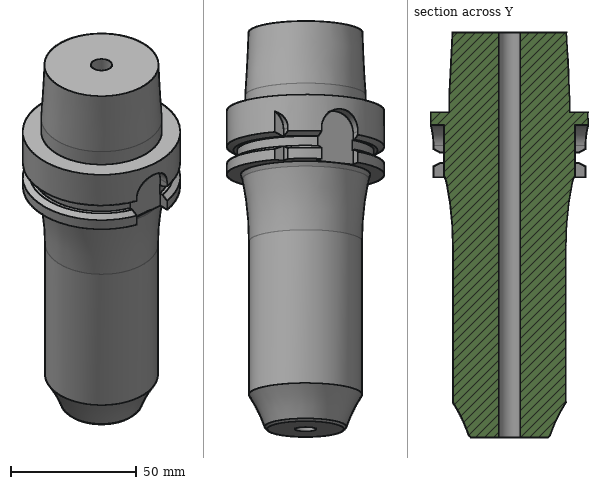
import cadquery as cq
import math

total_height = 162.0
flange_top = 130.1
flange_bottom = 104.0
taper_bottom = 136.4

shank_top_radius = 22.8
shank_base_radius = 24.1
bore_radius = 4.2

flange_diameter = 63.0
flange_radius = flange_diameter / 2
groove_radius = 27.4
groove_lip_radius = 28.8
groove_upper_edge = 115.3
groove_lower_edge = 108.4
groove_lip_height = 1.5

neck_radius = 26.0
neck_start_radius = 25.3
neck_start = 102.2
neck_end = 76.8
body_radius = 22.7

nose_top = 14.1
nose_radius = 16.4
nose_sag = 0.5
nose_chamfer = 1.0

slot_radius = 8.1
slot_arc_center = 116.8
slot_floor = 26.2
notch_floor = 20.4
notch_side = 20.1


def turned_body():
    """Revolve the half profile about Z."""
    flare = neck_start_radius - body_radius
    neck_length = neck_start - neck_end
    neck_arc_radius = (neck_length**2 + flare**2) / (2 * flare)
    neck_mid_drop = neck_length / 2
    neck_mid_radius = body_radius + neck_arc_radius - math.sqrt(neck_arc_radius**2 - neck_mid_drop**2)
    nose_mid = ((body_radius + nose_radius) / 2 - nose_sag, (nose_top + nose_chamfer) / 2)

    profile = (
        cq.Workplane("XZ")
        .moveTo(bore_radius, total_height)
        .lineTo(shank_top_radius, total_height)
        .lineTo(shank_base_radius, taper_bottom)
        .lineTo(shank_base_radius, flange_top)
        .lineTo(flange_radius, flange_top)
        .lineTo(flange_radius, groove_upper_edge)
        .lineTo(groove_lip_radius, groove_upper_edge - groove_lip_height)
        .lineTo(groove_radius, groove_upper_edge - groove_lip_height)
        .lineTo(groove_radius, groove_lower_edge + groove_lip_height)
        .lineTo(groove_lip_radius, groove_lower_edge + groove_lip_height)
        .lineTo(flange_radius, groove_lower_edge)
        .lineTo(flange_radius, flange_bottom)
        .lineTo(neck_radius, flange_bottom)
        .lineTo(neck_start_radius, neck_start)
        .threePointArc((neck_mid_radius, neck_end + neck_mid_drop), (body_radius, neck_end))
        .lineTo(body_radius, nose_top)
        .threePointArc(nose_mid, (nose_radius, nose_chamfer))
        .lineTo(nose_radius - nose_chamfer, 0)
        .lineTo(bore_radius, 0)
        .close()
    )
    return profile.revolve(360, (0, 0, 0), (0, 1, 0))


def round_top_slot(center_y, floor, side):
    """Cutter open at the flange bottom, running outward along X from its floor."""
    length = flange_radius - floor
    straight_height = slot_arc_center - flange_bottom
    return (
        cq.Workplane("YZ", origin=(side * floor, center_y, flange_bottom))
        .moveTo(-slot_radius, 0)
        .lineTo(slot_radius, 0)
        .lineTo(slot_radius, straight_height)
        .threePointArc((0, straight_height + slot_radius), (-slot_radius, straight_height))
        .close()
        .extrude(side * length)
    )


result = turned_body()

for slot_side in (-1, 1):
    result = result.cut(round_top_slot(0, slot_floor, slot_side))

result = result.cut(round_top_slot(notch_side + slot_radius, notch_floor, -1))